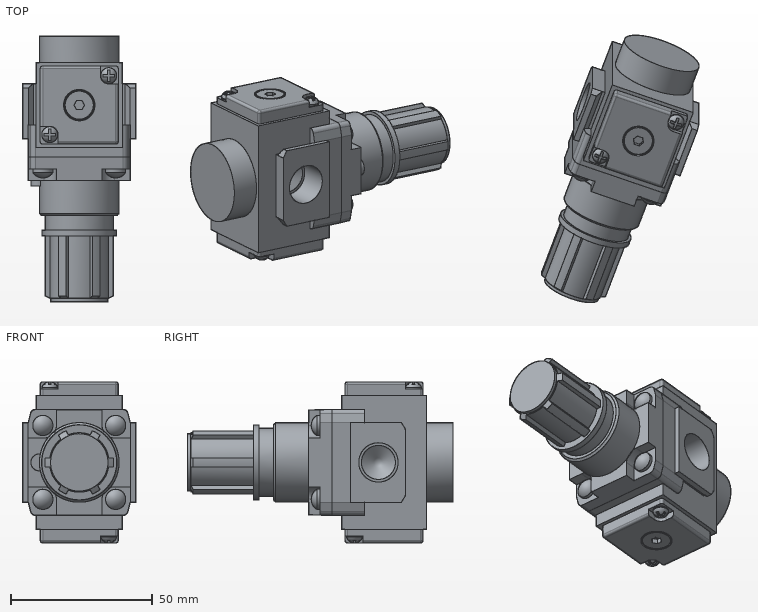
import cadquery as cq
import math


overall_length = 93.9
overall_width = 40.0
overall_height = 57.0

body_width = 30.4
body_depth = 30.05
body_height = 47.3
boss_radius = 14.1
boss_length = 9.4

pad_height = 28.2
pad_front_y = -11.9
pad_rear_y = 7.6
pad_thickness = 2.1
pad_corner_y = 1.5
pad_undercut = 2.4
pad_slope_width = 1.7
port_y = -2.0
port_radius = 6.95
port_depth = 11.3
drill_radius = 6.0
drill_half_angle = 59.0

flange_width = 36.1
flange_height = 37.6
flange_rear_y = -6.95
flange_joint_y = -18.4
flange_straight_height = 28.2
flange_top_width = 33.7
flange_corner_radius = 1.9

bonnet_seat_y = -22.6
bonnet_face_y = -26.7
bonnet_face_height = 37.1
tongue_width = 16.15
arm_height = 17.3
seat_corner_radius = 4.3
sleeve_radius = 14.1
sleeve_end_y = -39.1
sleeve_chamfer = 0.75
neck_radius = 12.1
neck_end_y = -44.1
gauge_pin_x = -14.1
gauge_pin_radius = 3.0
gauge_pin_end_y = -28.6
bonnet_screw_x = 12.9
bonnet_screw_z = 13.05
bonnet_screw_radius = 3.6
bonnet_screw_rim = 1.1
bonnet_screw_dome = 2.0

collar_radius = 13.2
collar_end_y = -46.2
knob_radius = 10.5
knob_end_y = -68.4
end_disc_radius = 10.1
rib_count = 6
rib_width = 3.1
rib_tip_radius = 12.1
rib_bevel_length = 0.9

cover_side = 27.6
cover_round = 0.9
cover_screw_offset = 10.4
cover_screw_radius = 2.8
cover_screw_rim = 0.5
screw_pocket_depth = 2.5
screw_pocket_radius = 2.9
cross_slot_length = 4.1
cross_slot_width = 0.8
cross_slot_depth = 0.9
plug_radius = 5.0
plug_groove_width = 0.6
plug_groove_depth = 0.4
hex_socket_across_corners = 3.8
hex_socket_depth = 1.9

boss_end_y = body_depth / 2 + boss_length
knob_tip_y = boss_end_y - overall_length
cover_height = (overall_height - body_height) / 2


def plane_facing_front(y):
    """Workplane at the given Y whose extrusions run towards -Y; its axes are X and Z."""
    return cq.Workplane("XZ", origin=(0, y, 0))


def cylinder_along_y(radius, rear_y, front_y):
    return plane_facing_front(rear_y).circle(radius).extrude(rear_y - front_y)


def flange_outline(height):
    """Corner points of the flange in X and Z: straight sides with leaning shoulders."""
    side_x = flange_width / 2
    side_z = flange_straight_height / 2
    top_x = flange_top_width / 2
    top_z = height / 2
    return [
        (side_x, -side_z), (side_x, side_z), (top_x, top_z), (-top_x, top_z),
        (-side_x, side_z), (-side_x, -side_z), (-top_x, -top_z), (top_x, -top_z),
    ]


def flange_slab(rear_y, front_y, front_height):
    """Slab with rounded corners, as high as the flange at the rear and front_height at the front."""
    slab = (
        plane_facing_front(rear_y)
        .polyline(flange_outline(flange_height))
        .close()
        .workplane(offset=rear_y - front_y)
        .polyline(flange_outline(front_height))
        .close()
        .loft(ruled=True)
    )
    shoulder_middle_z = (flange_straight_height + front_height) / 4
    lengthwise_edges = slab.edges("not(#Y)")
    corner_edges = lengthwise_edges.filter(lambda edge: abs(edge.Center().z) > shoulder_middle_z)
    return corner_edges.fillet(flange_corner_radius)


def screw_head(radius, rim_height, dome_height):
    """Domed head standing on the XY plane, with its axis along +Z."""
    sphere_radius = (radius**2 + dome_height**2) / (2 * dome_height)
    head_height = rim_height + dome_height
    sphere_centre_z = head_height - sphere_radius
    half_angle = math.asin(radius / sphere_radius) / 2
    dome_middle = (
        sphere_radius * math.sin(half_angle),
        sphere_centre_z + sphere_radius * math.cos(half_angle),
    )
    return (
        cq.Workplane("XZ")
        .lineTo(radius, 0)
        .lineTo(radius, rim_height)
        .threePointArc(dome_middle, (0, head_height))
        .close()
        .revolve(360, (0, 0), (0, 1))
    )


def make_side_pads():
    """Clamping pads on both sides: undercut along top and bottom, with cut rear corners."""
    face_x = overall_width / 2
    plate_x = face_x - pad_thickness
    neck_x = plate_x - pad_slope_width
    half_height = pad_height / 2
    neck_z = half_height - pad_undercut
    section = (
        plane_facing_front(pad_rear_y)
        .polyline([
            (face_x, -half_height), (face_x, half_height), (plate_x, half_height), (neck_x, neck_z),
            (-neck_x, neck_z), (-plate_x, half_height), (-face_x, half_height), (-face_x, -half_height),
            (-plate_x, -half_height), (-neck_x, -neck_z), (neck_x, -neck_z), (plate_x, -half_height),
        ])
        .close()
        .extrude(pad_rear_y - pad_front_y)
    )
    corner_start_y = pad_rear_y - pad_corner_y
    face_outline = (
        cq.Workplane("YZ")
        .polyline([
            (pad_front_y, -half_height), (corner_start_y, -half_height), (pad_rear_y, -neck_z),
            (pad_rear_y, neck_z), (corner_start_y, half_height), (pad_front_y, half_height),
        ])
        .close()
        .extrude(face_x, both=True)
    )
    return section.intersect(face_outline)


def make_port():
    """Port entering from the +X face, with a narrower drill point in its flat floor."""
    face_x = overall_width / 2
    floor_x = face_x - port_depth
    drill_tip_x = floor_x - drill_radius / math.tan(math.radians(drill_half_angle))
    return (
        cq.Workplane("XY")
        .polyline([
            (face_x, 0), (face_x, port_radius), (floor_x, port_radius), (floor_x, drill_radius),
            (drill_tip_x, 0),
        ])
        .close()
        .revolve(360, (0, 0), (1, 0))
        .translate((0, port_y, 0))
    )


def make_body():
    body = cq.Workplane("XY").box(body_width, body_depth, body_height)
    body = body.union(cylinder_along_y(boss_radius, boss_end_y, 0))
    body = body.union(flange_slab(flange_rear_y, flange_joint_y, flange_height))
    body = body.union(make_side_pads())
    port = make_port()
    return body.cut(port).cut(port.mirror("YZ"))


def make_screw_seat():
    """Open corner pocket for the bonnet screw at +X +Z, rounded on its inner corner."""
    inner_x = tongue_width / 2
    inner_z = arm_height / 2
    size_x = flange_width / 2 - inner_x
    size_z = flange_height / 2 - inner_z
    return (
        plane_facing_front(bonnet_seat_y)
        .center(inner_x + size_x / 2, inner_z + size_z / 2)
        .rect(size_x, size_z)
        .extrude(bonnet_seat_y - bonnet_face_y)
        .edges("|Y and <X and <Z")
        .fillet(seat_corner_radius)
    )


def make_bonnet():
    bonnet = flange_slab(flange_joint_y, bonnet_face_y, bonnet_face_height)
    seat = make_screw_seat()
    seat_pair = seat.union(seat.mirror("YZ"))
    bonnet = bonnet.cut(seat_pair).cut(seat_pair.mirror("XY"))
    sleeve = cylinder_along_y(sleeve_radius, bonnet_face_y, sleeve_end_y)
    bonnet = bonnet.union(sleeve.faces("<Y").chamfer(sleeve_chamfer))
    bonnet = bonnet.union(cylinder_along_y(neck_radius, sleeve_end_y, neck_end_y))
    gauge_pin = cylinder_along_y(gauge_pin_radius, bonnet_face_y, gauge_pin_end_y)
    bonnet = bonnet.union(gauge_pin.translate((gauge_pin_x, 0, 0)))
    head = screw_head(bonnet_screw_radius, bonnet_screw_rim, bonnet_screw_dome)
    head = head.rotate((0, 0, 0), (1, 0, 0), 90)
    for x in (-bonnet_screw_x, bonnet_screw_x):
        for z in (-bonnet_screw_z, bonnet_screw_z):
            bonnet = bonnet.union(head.translate((x, bonnet_seat_y, z)))
    return bonnet


def make_knob_envelope():
    """Round bar over the rib tips, its front end bevelled down to the end disc."""
    bevel_start_y = knob_end_y + rib_bevel_length
    return (
        cq.Workplane("XY")
        .polyline([
            (0, collar_end_y), (rib_tip_radius, collar_end_y), (rib_tip_radius, bevel_start_y),
            (end_disc_radius, knob_end_y), (0, knob_end_y),
        ])
        .close()
        .revolve(360, (0, 0), (0, 1))
    )


def make_knob():
    grip_length = collar_end_y - knob_end_y
    grip = cylinder_along_y(knob_radius, collar_end_y, knob_end_y)
    for index in range(rib_count // 2):
        bar = plane_facing_front(collar_end_y).rect(2 * rib_tip_radius, rib_width).extrude(grip_length)
        grip = grip.union(bar.rotate((0, 0, 0), (0, 1, 0), index * 360 / rib_count))
    grip = grip.intersect(make_knob_envelope())
    collar = cylinder_along_y(collar_radius, neck_end_y, collar_end_y)
    end_disc = cylinder_along_y(end_disc_radius, knob_end_y, knob_tip_y)
    return grip.union(collar).union(end_disc)


def make_cover_screw():
    """Domed cover screw with a cross slot, standing on the XY plane."""
    head_height = screw_pocket_depth
    head = screw_head(cover_screw_radius, cover_screw_rim, head_height - cover_screw_rim)
    slot_floor = cq.Workplane("XY", origin=(0, 0, head_height - cross_slot_depth))
    slot = slot_floor.rect(cross_slot_length, cross_slot_width).extrude(cross_slot_depth)
    cross_slot = slot.union(slot.rotate((0, 0, 0), (0, 0, 1), 90))
    return head.cut(cross_slot)


def make_screw_pocket():
    """Open corner pocket centred on the origin, rounded on the side facing away from +X +Y."""
    reach = cover_side / 2 - cover_screw_offset
    side = screw_pocket_radius + reach
    centre = (reach - screw_pocket_radius) / 2
    return (
        cq.Workplane("XY")
        .center(centre, centre)
        .rect(side, side)
        .extrude(screw_pocket_depth)
        .edges("|Z and <X and <Y")
        .fillet(screw_pocket_radius)
    )


def make_plug_recess(top_z):
    """V groove around the plug and the hexagon socket in its middle."""
    groove_middle = plug_radius + plug_groove_width / 2
    groove = (
        cq.Workplane("XZ")
        .polyline([
            (plug_radius, top_z), (groove_middle, top_z - plug_groove_depth),
            (plug_radius + plug_groove_width, top_z),
        ])
        .close()
        .revolve(360, (0, 0), (0, 1))
    )
    socket = (
        cq.Workplane("XY", origin=(0, 0, top_z - hex_socket_depth))
        .polygon(6, hex_socket_across_corners)
        .extrude(hex_socket_depth)
    )
    return groove.union(socket)


def make_cover():
    """Top cover with its screws in two opposite corners."""
    bottom_z = body_height / 2
    top_z = bottom_z + cover_height
    cover = cq.Workplane("XY", origin=(0, 0, bottom_z)).rect(cover_side, cover_side).extrude(cover_height)
    cover = cover.edges("|Z").fillet(cover_round).faces(">Z").edges().fillet(cover_round)
    cover = cover.cut(make_plug_recess(top_z))
    seat = (cover_screw_offset, cover_screw_offset, top_z - screw_pocket_depth)
    pocket = make_screw_pocket().translate(seat)
    screw = make_cover_screw().translate(seat)
    for angle in (0, 180):
        cover = cover.cut(pocket.rotate((0, 0, 0), (0, 0, 1), angle))
        cover = cover.union(screw.rotate((0, 0, 0), (0, 0, 1), angle))
    return cover


body = make_body()
bonnet = make_bonnet()
knob = make_knob()
covers = []
for turn in (0, 180):
    covers.append(make_cover().rotate((0, 0, 0), (0, 1, 0), turn).val())

result = cq.Compound.makeCompound([body.val(), bonnet.val(), knob.val(), *covers])